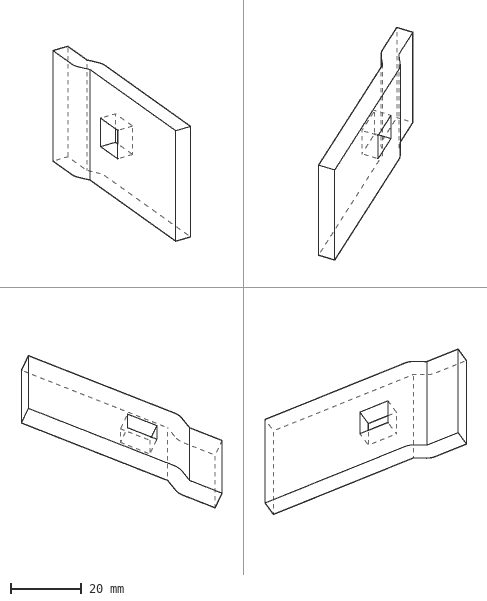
import cadquery as cq
import math

thickness = 5.0
height = 35.0
tab_length = 10.0
plate_length = 45.0
jog_offset = 2.5
bend_angle = math.radians(30)
hole_size = 9.0
hole_from_bend = 10.0

bend_run = thickness * math.sin(bend_angle)
bend_rise = thickness * (1 - math.cos(bend_angle))
slope_run = (jog_offset - bend_rise) / math.tan(bend_angle)
plate_start = tab_length + bend_run + slope_run
total_length = plate_start + plate_length
total_depth = thickness + jog_offset


def point_on_bend(center, angle, side):
    """Point on an outside bend arc; side is -1 below the center, +1 above it."""
    x, y = center
    return (
        x - side * thickness * math.sin(angle),
        y + side * thickness * math.cos(angle),
    )


def jogged_plate():
    """Offset plate profile in XY, extruded along Z about mid-height."""
    tab_corner = (tab_length, thickness)
    plate_corner = (plate_start, jog_offset)
    half_angle = bend_angle / 2
    return (
        cq.Workplane("XY")
        .workplane(offset=-height / 2)
        .moveTo(0, 0)
        .lineTo(tab_length, 0)
        .threePointArc(
            point_on_bend(tab_corner, half_angle, -1),
            point_on_bend(tab_corner, bend_angle, -1),
        )
        .lineTo(*plate_corner)
        .lineTo(total_length, jog_offset)
        .lineTo(total_length, total_depth)
        .lineTo(plate_start, total_depth)
        .threePointArc(
            point_on_bend(plate_corner, half_angle, 1),
            point_on_bend(plate_corner, bend_angle, 1),
        )
        .lineTo(*tab_corner)
        .lineTo(0, thickness)
        .close()
        .extrude(height)
    )


def square_hole():
    """Square cutter through the main plate, centred on mid-height."""
    return cq.Workplane("XY").box(hole_size, 2 * total_depth, hole_size).translate(
        (plate_start + hole_from_bend, total_depth / 2, 0)
    )


result = jogged_plate().cut(square_hole())